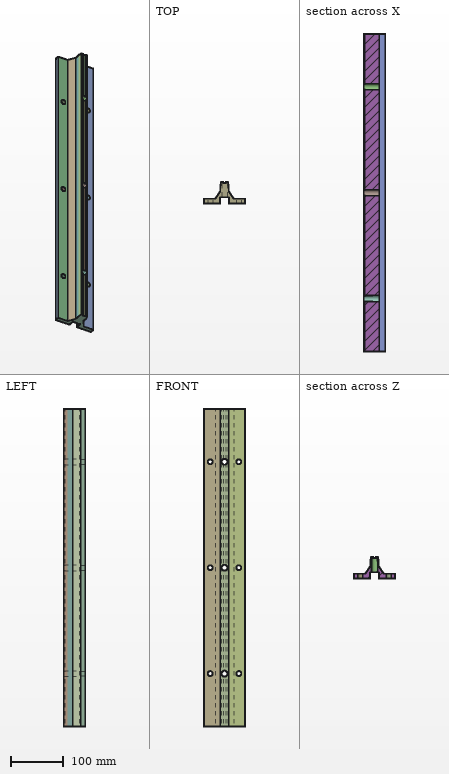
import cadquery as cq

rail_length = 599.5
rail_width = 78.0
rail_height = 41.0

flange_thickness = 9.0
stem_width = 16.0
flare_base_width = 35.5
flare_top = 23.5
tip_width = 13.0
tip_taper_height = 7.0
groove_width = stem_width
groove_depth = 11.5
notch_width = 5.5
notch_depth = 2.0

row_count = 3
row_spacing = rail_length / row_count
flange_hole_diameter = 9.0
flange_hole_offset = 27.0
stem_hole_diameter = 11.0

base_y = -rail_height / 2
tip_y = rail_height / 2


def rail_body():
    """Extrude the symmetric rail section, built from its right half."""
    right_half = [
        (0, base_y + groove_depth),
        (groove_width / 2, base_y + groove_depth),
        (groove_width / 2, base_y),
        (rail_width / 2, base_y),
        (rail_width / 2, base_y + flange_thickness),
        (flare_base_width / 2, base_y + flange_thickness),
        (stem_width / 2, base_y + flare_top),
        (stem_width / 2, tip_y - tip_taper_height),
        (tip_width / 2, tip_y),
        (notch_width / 2, tip_y),
        (notch_width / 2, tip_y - notch_depth),
        (0, tip_y - notch_depth),
    ]
    section = cq.Workplane("XY").workplane(offset=-rail_length / 2)
    return section.polyline(right_half).mirrorY().extrude(rail_length)


def hole_row(x, diameter):
    """Cylinders through the full height, one per row, at the given X."""
    first_z = -row_spacing * (row_count - 1) / 2
    centres = [(x, first_z + row * row_spacing) for row in range(row_count)]
    plane = cq.Workplane("XZ", origin=(0, tip_y, 0))
    return plane.pushPoints(centres).circle(diameter / 2).extrude(rail_height)


result = rail_body()
result = result.cut(hole_row(0, stem_hole_diameter))
for side in (-1, 1):
    result = result.cut(hole_row(side * flange_hole_offset, flange_hole_diameter))